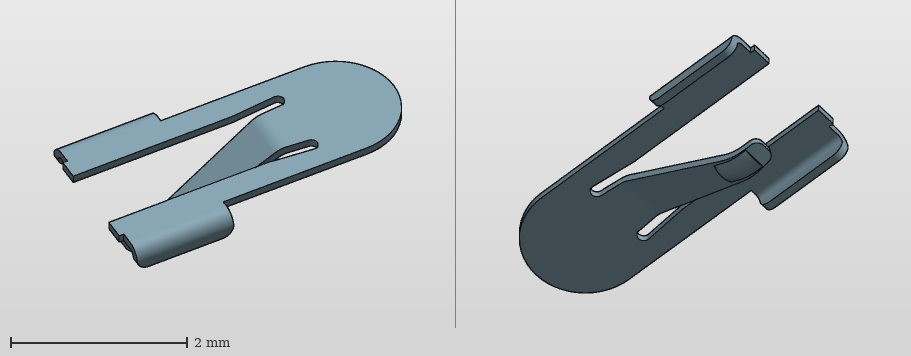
import cadquery as cq
import math

thickness = 0.1
length = 3.9
height = 1.0
plate_half_width = 0.75

opening_half_width = 0.425
slant_start_y = 2.048
slot_center_y = 2.62
slot_center_x = 0.4
slot_radius = 0.078

wing_half_span = 1.0005
wing_start_y = 0.06
wing_end_y = 1.303
wing_depth = 0.3
wing_corner_radius = 0.15
wing_bend_inner_radius = 0.078
notch_half_width = 0.675

tongue_angle = math.radians(30)
curl_angle = math.radians(10)
tongue_bend_y = 2.365
tongue_bend_radius = 0.3
curl_radius = 0.39
tip_length = 0.185
tip_half_width = 0.135
tip_corner_radius = 0.1

bead_height = 0.035
bead_half_width = 0.15
bead_straight_length = 0.168

curl_z = -height + bead_height + thickness + curl_radius
straight_top_y = tongue_bend_y - tongue_bend_radius * math.sin(tongue_angle)
straight_top_z = -tongue_bend_radius * (1 - math.cos(tongue_angle))
straight_end_z = curl_z - curl_radius * math.cos(tongue_angle)
straight_end_y = straight_top_y - (straight_top_z - straight_end_z) / math.tan(tongue_angle)
curl_y = straight_end_y - curl_radius * math.sin(tongue_angle)


def on_circle(center_y, center_z, radius, angle):
    """Point on a circle in the YZ plane, angle measured from +Y toward +Z."""
    return (center_y + radius * math.cos(angle), center_z + radius * math.sin(angle))


def make_plate():
    head_y = length - plate_half_width
    outline = (
        cq.Workplane("XY")
        .moveTo(-notch_half_width, 0)
        .lineTo(notch_half_width, 0)
        .lineTo(notch_half_width, wing_start_y)
        .lineTo(plate_half_width, wing_start_y)
        .lineTo(plate_half_width, head_y)
        .threePointArc((0, length), (-plate_half_width, head_y))
        .lineTo(-plate_half_width, wing_start_y)
        .lineTo(-notch_half_width, wing_start_y)
        .close()
    )
    return outline.extrude(-thickness)


def make_opening():
    slot_outer_x = slot_center_x + slot_radius
    slot_inner_x = slot_center_x - slot_radius
    slot_top_y = slot_center_y + slot_radius
    outline = (
        cq.Workplane("XY")
        .moveTo(-opening_half_width, 0)
        .lineTo(opening_half_width, 0)
        .lineTo(opening_half_width, slant_start_y)
        .lineTo(slot_outer_x, slot_center_y)
        .threePointArc((slot_center_x, slot_top_y), (slot_inner_x, slot_center_y))
        .lineTo(-slot_inner_x, slot_center_y)
        .threePointArc((-slot_center_x, slot_top_y), (-slot_outer_x, slot_center_y))
        .lineTo(-opening_half_width, slant_start_y)
        .close()
    )
    return outline.extrude(-thickness)


def make_wing():
    """Wing on the +X side: quarter bend, then a vertical lip with rounded lower corners."""
    outer_radius = wing_bend_inner_radius + thickness
    bend_x = wing_half_span - outer_radius
    inner_x = wing_half_span - thickness
    diagonal = math.sqrt(0.5)
    outer_mid = (bend_x + outer_radius * diagonal, outer_radius * (diagonal - 1))
    inner_mid = (
        bend_x + wing_bend_inner_radius * diagonal,
        wing_bend_inner_radius * diagonal - outer_radius,
    )
    section = (
        cq.Workplane("XZ", origin=(0, wing_start_y, 0))
        .moveTo(notch_half_width, 0)
        .lineTo(bend_x, 0)
        .threePointArc(outer_mid, (wing_half_span, -outer_radius))
        .lineTo(wing_half_span, -wing_depth)
        .lineTo(inner_x, -wing_depth)
        .lineTo(inner_x, -outer_radius)
        .threePointArc(inner_mid, (bend_x, -thickness))
        .lineTo(notch_half_width, -thickness)
        .close()
    )
    wing = section.extrude(wing_start_y - wing_end_y)
    return wing.faces("<Z").edges("|X").fillet(wing_corner_radius)


def make_tongue():
    """Side profile of constant thickness, trimmed to a taper, with rounded tip corners."""
    bend_z = -tongue_bend_radius
    bend_end = math.pi / 2 + tongue_angle
    curl_start = -math.pi / 2 + tongue_angle
    curl_middle = -math.pi / 2 + (tongue_angle - curl_angle) / 2
    curl_end = -math.pi / 2 - curl_angle
    bend_middle = (math.pi / 2 + bend_end) / 2
    bend_inner_radius = tongue_bend_radius - thickness
    curl_outer_radius = curl_radius + thickness

    def bend(radius, angle):
        return on_circle(tongue_bend_y, bend_z, radius, angle)

    def curl(radius, angle):
        return on_circle(curl_y, curl_z, radius, angle)

    def tip(radius):
        y, z = curl(radius, curl_end)
        return (y - tip_length * math.cos(curl_angle), z + tip_length * math.sin(curl_angle))

    profile = (
        cq.Workplane("YZ")
        .moveTo(slot_center_y, 0)
        .lineTo(tongue_bend_y, 0)
        .threePointArc(bend(tongue_bend_radius, bend_middle), bend(tongue_bend_radius, bend_end))
        .lineTo(*curl(curl_radius, curl_start))
        .threePointArc(curl(curl_radius, curl_middle), curl(curl_radius, curl_end))
        .lineTo(*tip(curl_radius))
        .lineTo(*tip(curl_outer_radius))
        .lineTo(*curl(curl_outer_radius, curl_end))
        .threePointArc(curl(curl_outer_radius, curl_middle), curl(curl_outer_radius, curl_start))
        .lineTo(*bend(bend_inner_radius, bend_end))
        .threePointArc(bend(bend_inner_radius, bend_middle), (tongue_bend_y, -thickness))
        .lineTo(slot_center_y, -thickness)
        .close()
    )
    root_half_width = slot_center_x - slot_radius
    tip_y = tip(curl_radius)[0] - thickness
    taper = (
        cq.Workplane("XY")
        .moveTo(-root_half_width, slot_center_y)
        .lineTo(root_half_width, slot_center_y)
        .lineTo(tip_half_width, tip_y)
        .lineTo(-tip_half_width, tip_y)
        .close()
        .extrude(-height)
    )
    tongue = profile.extrude(root_half_width, both=True).intersect(taper)
    tip_face = tongue.faces("<Y")
    return tip_face.edges("<X or >X").fillet(tip_corner_radius)


def make_bead():
    """Circular-segment bead under the curl, continued a little way up the straight run."""
    overlap = thickness / 2
    under_radius = curl_radius + thickness
    plane = cq.Plane(
        origin=(0, curl_y, curl_z),
        xDir=(1, 0, 0),
        normal=(0, math.cos(tongue_angle), math.sin(tongue_angle)),
    )

    def section():
        return (
            cq.Workplane(plane)
            .moveTo(-bead_half_width, under_radius - overlap)
            .lineTo(-bead_half_width, under_radius)
            .threePointArc((0, under_radius + bead_height), (bead_half_width, under_radius))
            .lineTo(bead_half_width, under_radius - overlap)
            .close()
        )

    straight = section().extrude(bead_straight_length)
    curl_sweep = math.degrees(tongue_angle + curl_angle)
    curved = section().revolve(curl_sweep, (0, 0), (-1, 0))
    return straight.union(curved)


wing = make_wing()
result = (
    make_plate()
    .cut(make_opening())
    .union(wing)
    .union(wing.mirror("YZ"))
    .union(make_tongue())
    .union(make_bead())
)